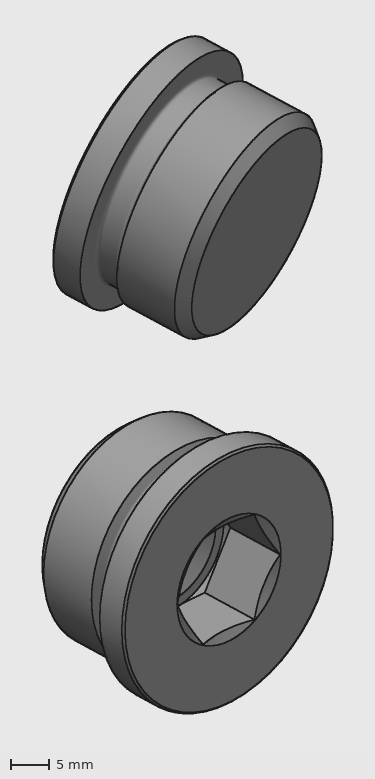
import cadquery as cq
import math

total_length = 19.5
flange_diameter = 38.0
flange_width = 4.5
flange_chamfer = 0.3

body_diameter = 33.15
body_start = 8.63
shoulder_angle = 60.0
undercut_diameter = 30.32
undercut_fillet = 0.5
end_chamfer_length = 1.8

hex_across_flats = 16.0
lead_in_diameter = 18.65
lead_in_half_angle = 60.0
hex_depth = 9.5
relief_diameter = 18.9
relief_width = 1.5
drill_point_half_angle = 60.0

flange_radius = flange_diameter / 2
body_radius = body_diameter / 2
undercut_radius = undercut_diameter / 2
shoulder_length = (body_radius - undercut_radius) / math.tan(math.radians(shoulder_angle))
undercut_end = body_start - shoulder_length
hex_corner_diameter = hex_across_flats / math.cos(math.pi / 6)
socket_depth = hex_depth + relief_width


def plug_blank():
    """Turned outside shape: flange, undercut with rounded corners, and body."""
    turned = (
        cq.Workplane("XY")
        .moveTo(0, 0)
        .lineTo(0, flange_radius - flange_chamfer)
        .lineTo(flange_chamfer, flange_radius)
        .lineTo(flange_width, flange_radius)
        .lineTo(flange_width, undercut_radius)
        .lineTo(undercut_end, undercut_radius)
        .lineTo(body_start, body_radius)
        .lineTo(total_length - end_chamfer_length, body_radius)
        .lineTo(total_length, undercut_radius)
        .lineTo(total_length, 0)
        .close()
        .revolve(360, (0, 0, 0), (1, 0, 0))
    )

    def is_undercut_corner(edge):
        if edge.geomType() != "CIRCLE":
            return False
        at_undercut_radius = math.isclose(edge.radius(), undercut_radius, rel_tol=1e-6)
        return at_undercut_radius and edge.Center().x < body_start

    return turned.edges().filter(is_undercut_corner).fillet(undercut_fillet)


def inward_cone(base_x, base_diameter, half_angle):
    """Cone with its base at base_x and its tip pointing along +X."""
    base_radius = base_diameter / 2
    length = base_radius / math.tan(math.radians(half_angle))
    return (
        cq.Workplane("XY")
        .moveTo(base_x, 0)
        .lineTo(base_x, base_radius)
        .lineTo(base_x + length, 0)
        .close()
        .revolve(360, (0, 0, 0), (1, 0, 0))
    )


def hex_prism():
    """Hexagonal prism from the flange face inward, with two corners on the Y axis."""
    return cq.Workplane("YZ").polygon(6, hex_corner_diameter).extrude(hex_depth)


def relief_groove():
    """Round recess behind the hexagon, slightly wider than its corners, with a flat floor."""
    return (
        cq.Workplane("YZ")
        .workplane(offset=hex_depth)
        .circle(relief_diameter / 2)
        .extrude(relief_width)
    )


result = (
    plug_blank()
    .cut(hex_prism())
    .cut(relief_groove())
    .cut(inward_cone(0, lead_in_diameter, lead_in_half_angle))
    .cut(inward_cone(socket_depth, hex_across_flats, drill_point_half_angle))
)